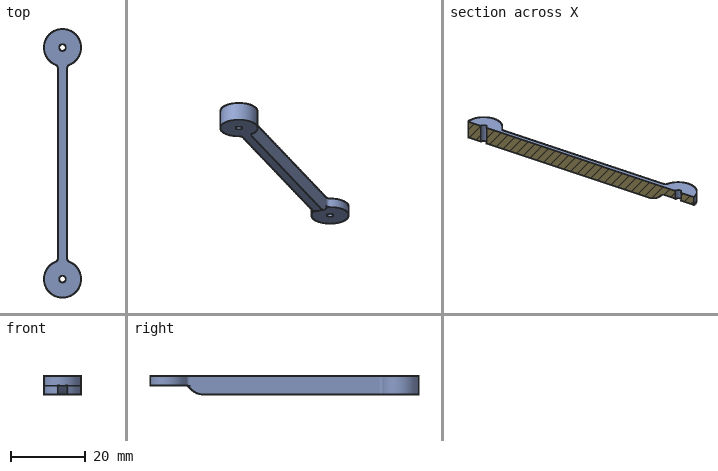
import cadquery as cq
import math

length = 71.9
height = 5.0
thin_height = 2.6
disc_diameter = 10.0
hole_diameter = 1.7
bar_width = 2.5
neck_radius = 1.0
ramp_angle = 45.0
ramp_radius = 5.0
ramp_top_inset = 9.9

disc_radius = disc_diameter / 2
disc_offset = length / 2 - disc_radius
thin_bottom = height - thin_height

bar_half = bar_width / 2
arc_center_x = bar_half + neck_radius
arc_center_y = math.sqrt((disc_radius + neck_radius) ** 2 - arc_center_x ** 2)
contact_share = disc_radius / (disc_radius + neck_radius)
contact_x = arc_center_x * contact_share
contact_y = arc_center_y * contact_share


def neck_mid_point(side):
    """Middle of the neck arc on side +1 or -1 of the bar."""
    chord_x = (bar_half + contact_x) / 2 - arc_center_x
    chord_y = (arc_center_y + contact_y) / 2 - arc_center_y
    reach = neck_radius / math.hypot(chord_x, chord_y)
    return side * (arc_center_x + chord_x * reach), arc_center_y + chord_y * reach


def disc_end(thickness):
    """Disc at the origin with a blended neck leaving it toward +Y; top at full height."""
    bottom = cq.Workplane("XY").workplane(offset=height - thickness)
    disc = bottom.circle(disc_radius).extrude(thickness)
    neck = (
        bottom.moveTo(0, 0)
        .lineTo(contact_x, contact_y)
        .threePointArc(neck_mid_point(1), (bar_half, arc_center_y))
        .lineTo(-bar_half, arc_center_y)
        .threePointArc(neck_mid_point(-1), (-contact_x, contact_y))
        .close()
        .extrude(thickness)
    )
    return disc.union(neck)


def bar():
    """Straight bar between the discs, its underside sloping up to the thin disc."""
    angle = math.radians(ramp_angle)
    ramp_top_y = -length / 2 + ramp_top_inset
    arc_rise = ramp_radius * (1 - math.cos(angle))
    arc_end_y = ramp_top_y + (thin_bottom - arc_rise) / math.tan(angle)
    arc_start_y = arc_end_y + ramp_radius * math.sin(angle)
    arc_mid = (
        arc_start_y - ramp_radius * math.sin(angle / 2),
        ramp_radius * (1 - math.cos(angle / 2)),
    )
    return (
        cq.Workplane("YZ")
        .moveTo(disc_offset, 0)
        .lineTo(arc_start_y, 0)
        .threePointArc(arc_mid, (arc_end_y, arc_rise))
        .lineTo(ramp_top_y, thin_bottom)
        .lineTo(-disc_offset, thin_bottom)
        .lineTo(-disc_offset, height)
        .lineTo(disc_offset, height)
        .close()
        .extrude(bar_half, both=True)
    )


thin_end = disc_end(thin_height).translate((0, -disc_offset, 0))
thick_end = disc_end(height).rotate((0, 0, 0), (0, 0, 1), 180).translate((0, disc_offset, 0))

holes = (
    cq.Workplane("XY")
    .pushPoints([(0, -disc_offset), (0, disc_offset)])
    .circle(hole_diameter / 2)
    .extrude(height)
)

result = bar().union(thin_end).union(thick_end).cut(holes)